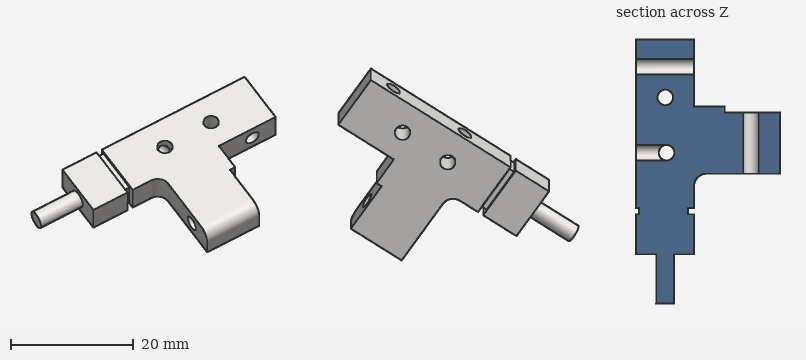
import cadquery as cq

thickness = 5.0
mid_height = thickness / 2

stem_width = 9.5
stem_length = 27.45
neck_inset = 0.5
neck_width = 8.0
neck_length = 1.0
block_length = 6.55
pin_diameter = 3.0
pin_length = 8.0

overall_width = 23.5
arm_rear_y = -11.9
arm_depth = 10.0
arm_front_y = arm_rear_y - arm_depth
inner_fillet = 2.0
tip_fillet = 2.0

shoulder_end_x = 14.5
shoulder_height = 1.0

hole_diameter = 2.5
upright_hole_centers = [(4.8, -9.45), (5.0, -18.45)]
rear_cross_hole_y = -4.45
front_cross_hole_x, front_cross_hole_y = upright_hole_centers[1]
arm_hole_x = 18.75

neck_front_y = -stem_length - neck_length
block_front_y = neck_front_y - block_length


def box(x, y_rear, z, width, length, height):
    """Box with its left rear bottom corner at (x, y_rear, z), extending toward -Y."""
    return cq.Workplane("XY").box(width, length, height, centered=False).translate((x, y_rear - length, z))


def rod_along_x(x, y, length):
    """Hole-sized rod at mid height, running from x toward +X."""
    axis_start = cq.Workplane("YZ", origin=(x, y, mid_height))
    return axis_start.circle(hole_diameter / 2).extrude(length)


def make_body():
    """T-shaped plate: stem, arm and shoulder, with rounded inner corner and arm tip."""
    stem = box(0, 0, 0, stem_width, stem_length, thickness)
    arm = box(0, arm_rear_y, 0, overall_width, arm_depth, thickness)
    shoulder = box(0, arm_rear_y + shoulder_height, 0, shoulder_end_x, shoulder_height, thickness)
    body = stem.union(arm).union(shoulder)
    inner_corner = cq.NearestToPointSelector((stem_width, arm_front_y, mid_height))
    body = body.edges("|Z").edges(inner_corner).fillet(inner_fillet)
    return body.faces(">X").edges(">Z").fillet(tip_fillet)


def make_end():
    """Relief neck, end block and round pin in front of the stem."""
    neck = box(neck_inset, -stem_length, neck_inset, neck_width, neck_length, thickness - 2 * neck_inset)
    block = box(0, neck_front_y, 0, stem_width, block_length, thickness)
    pin_start = cq.Workplane("XZ", origin=(stem_width / 2, block_front_y, mid_height))
    pin = pin_start.circle(pin_diameter / 2).extrude(pin_length)
    return block.union(neck).union(pin)


def make_holes():
    """All drilled holes as one cutting body."""
    upright = cq.Workplane("XY").pushPoints(upright_hole_centers).circle(hole_diameter / 2).extrude(thickness)
    rear_cross = rod_along_x(0, rear_cross_hole_y, stem_width)
    front_cross = rod_along_x(0, front_cross_hole_y, front_cross_hole_x)
    arm_start = cq.Workplane("XZ", origin=(arm_hole_x, arm_rear_y, mid_height))
    arm_hole = arm_start.circle(hole_diameter / 2).extrude(arm_depth)
    return upright.union(rear_cross).union(front_cross).union(arm_hole)


result = make_body().union(make_end()).cut(make_holes())